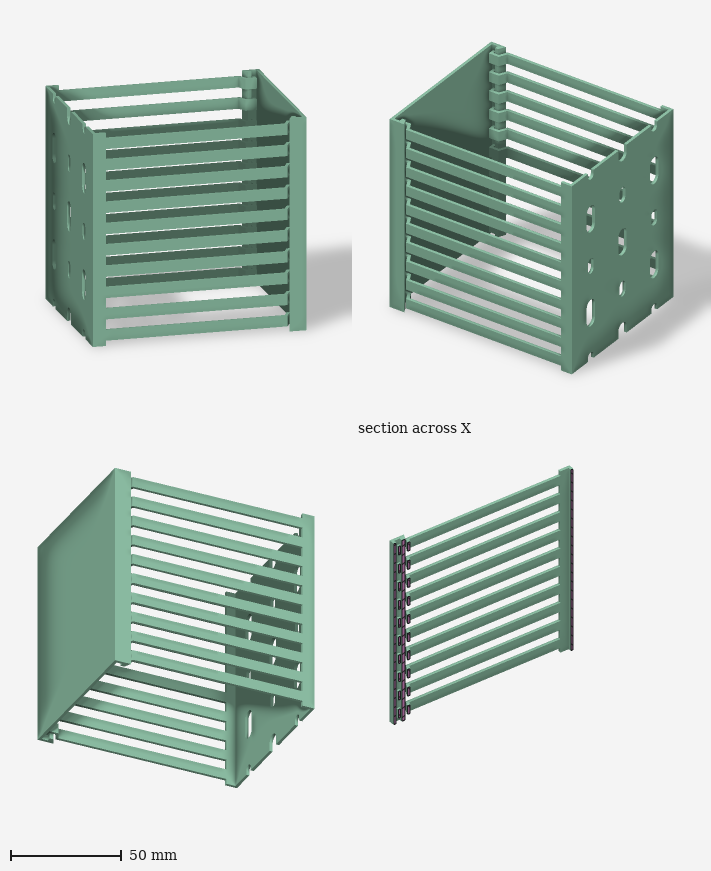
import cadquery as cq
import math

WIDTH = 80.0
DEPTH = 100.0
LENGTH = 100.0
WALL = 1.5

HALF_WIDTH = WIDTH / 2
FRONT_Y = -DEPTH / 2
BACK_Y = DEPTH / 2

COVER_SIDE_DEPTH = 8.0
SLANT_SLOPE = 0.5
SLANT_GAP = 1.0
CLEARANCE = 0.5
HOOK_TOP_GAP = 1.0
HOOK_INSET = 4.0

HOOK_INNER_INSET = HOOK_INSET + WALL
HOOK_TIP_INSET = WALL + CLEARANCE
HOOK_TOP_DEPTH = WALL + HOOK_TOP_GAP
HOOK_UNDERSIDE_DEPTH = HOOK_TOP_DEPTH + WALL

LIP_REACH = HOOK_INSET - CLEARANCE
LIP_TOP_DEPTH = HOOK_UNDERSIDE_DEPTH + CLEARANCE

FINGER_SHOULDER_DEPTH = COVER_SIDE_DEPTH + SLANT_GAP
SLANT_INNER_DEPTH = FINGER_SHOULDER_DEPTH + WALL * math.hypot(1, SLANT_SLOPE)

FINGER_PITCH = 10.0
FINGER_GAP = 5.0
GAP_START = 6.0

SLOT_PITCH = 25.0
SLOT_COLUMNS = range(-1, 2)
SLOT_ROWS = range(-2, 3)
LARGE_SLOT_LENGTH = 14.0
LARGE_SLOT_WIDTH = 6.5
SMALL_SLOT_LENGTH = 8.0
SMALL_SLOT_WIDTH = 4.5


def extruded_section(half_points):
    """Extrude the section given by its right half, mirrored about the YZ plane."""
    right = [(HALF_WIDTH - inset, BACK_Y - depth) for inset, depth in half_points]
    left = [(-x, y) for x, y in reversed(right)]
    section = cq.Workplane("XY").polyline(right + left).close()
    return section.extrude(LENGTH / 2, both=True)


def slant_depth(start_depth, inset):
    """Depth of a slanted face at an inset, given its depth at the outer side face."""
    return start_depth - SLANT_SLOPE * inset


def make_cover():
    """Flat cover whose short sides end in inward snap lips."""
    return extruded_section([
        (0, 0),
        (0, COVER_SIDE_DEPTH),
        (LIP_REACH, slant_depth(COVER_SIDE_DEPTH, LIP_REACH)),
        (LIP_REACH, LIP_TOP_DEPTH),
        (WALL, LIP_TOP_DEPTH),
        (WALL, WALL),
    ])


def make_channel():
    """Channel with hooked side walls, before the cutouts."""
    return extruded_section([
        (0, DEPTH),
        (0, FINGER_SHOULDER_DEPTH),
        (HOOK_INSET, slant_depth(FINGER_SHOULDER_DEPTH, HOOK_INSET)),
        (HOOK_INSET, HOOK_UNDERSIDE_DEPTH),
        (HOOK_TIP_INSET, HOOK_UNDERSIDE_DEPTH),
        (HOOK_TIP_INSET, HOOK_TOP_DEPTH),
        (HOOK_INNER_INSET, HOOK_TOP_DEPTH),
        (HOOK_INNER_INSET, slant_depth(SLANT_INNER_DEPTH, HOOK_INNER_INSET)),
        (WALL, slant_depth(SLANT_INNER_DEPTH, WALL)),
        (WALL, DEPTH - WALL),
    ])


def cut_finger_gaps(channel):
    """Cut gaps through both side walls; the end gaps are open at the channel ends."""
    gap_count = round(LENGTH / FINGER_PITCH) + 1
    gap = cq.Workplane("XY").box(WIDTH, DEPTH, FINGER_GAP)
    for index in range(gap_count):
        z = index * FINGER_PITCH - LENGTH / 2
        channel = channel.cut(gap.translate((0, GAP_START, z)))
    return channel


def cut_mounting_slots(channel):
    """Cut large and small slots through the floor in a checkerboard; the end rows are open."""
    for column in SLOT_COLUMNS:
        for row in SLOT_ROWS:
            if (column + row) % 2 == 0:
                length, width = LARGE_SLOT_LENGTH, LARGE_SLOT_WIDTH
            else:
                length, width = SMALL_SLOT_LENGTH, SMALL_SLOT_WIDTH
            slot = (
                cq.Workplane("XZ", origin=(0, FRONT_Y, 0))
                .center(column * SLOT_PITCH, row * SLOT_PITCH)
                .slot2D(length, width, 90)
                .extrude(-WALL)
            )
            channel = channel.cut(slot)
    return channel


cover = make_cover()
base = cut_mounting_slots(cut_finger_gaps(make_channel()))

result = cq.Compound.makeCompound([cover.val(), base.val()])